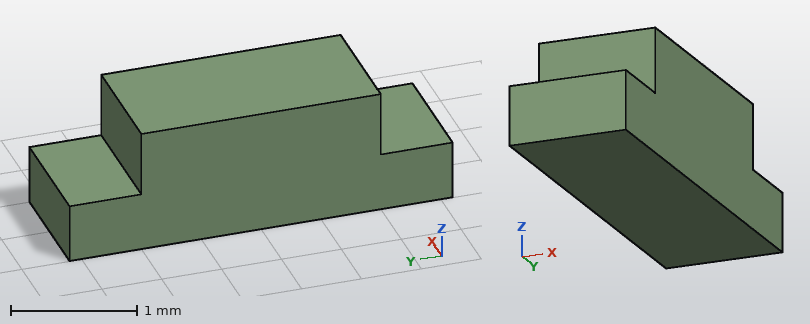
import cadquery as cq

width = 1.0
base_length = 3.2
total_height = 1.05

base_height = 0.5
ledge_length = 0.6
body_length = base_length - 2 * ledge_length
body_height = total_height - base_height


def block(length, height, bottom):
    """Block of the full width, centred on X and Y, standing at the given height."""
    return (
        cq.Workplane("XY", origin=(0, 0, bottom))
        .box(width, length, height, centered=(True, True, False))
    )


base = block(base_length, base_height, 0)
body = block(body_length, body_height, base_height)

result = base.union(body)